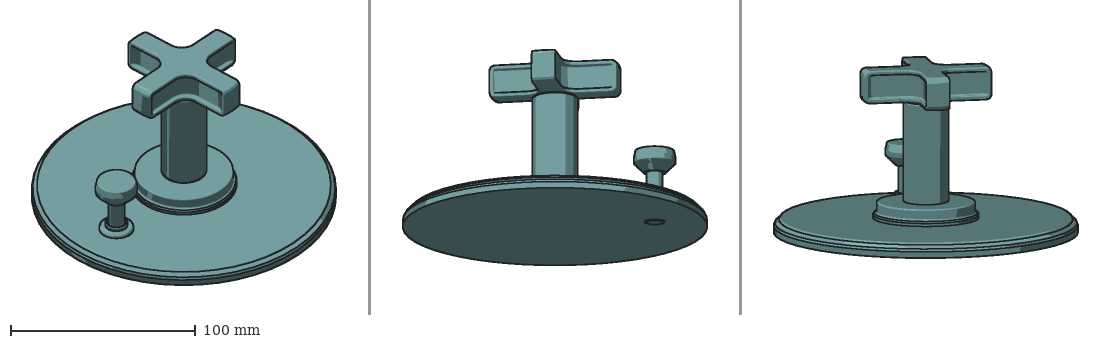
import cadquery as cq
import math

plate_radius = 82.5
plate_bottom = 0.5
plate_top = 8.5
plate_rim_top = 4.0
plate_step_height = 5.5
plate_step_radius = 81.9
plate_flank_radius = 79.5
plate_edge_break = 1.2

flange_radius = 28.7
flange_rim_top = 10.0
flange_shoulder_height = 11.0
flange_edge_break = 0.7
hub_radius = 26.7
hub_cove = 1.2
hub_top = 17.3
hub_edge_break = 0.8

post_radius = 12.4
post_edge_break = 0.8
neck_height = 0.5

cross_top = 91.0
cross_height = 18.0
cross_bottom = cross_top - cross_height
cross_radius = 35.7
cross_tip_round = 3.3
arm_half_width = 6.5
arm_edge_round = 0.8
crotch_radius = 8.3
panel_depth = 2.3
panel_margin = 2.5
panel_end = 33.2
panel_end_run = 5.3
panel_floor_round = 1.0
panel_lip_round = 0.5

knob_y = -55.0
stem_radius = 4.5
knob_neck_height = 27.9
knob_neck_radius = 6.0
knob_radius = 11.4
knob_band_top = 36.3
knob_crown_radius = 10.7
knob_top = 40.3
knob_edge_break = 0.8
knob_band_round_low = 0.7
knob_band_round_high = 2.5

dome_radius = 9.4
dome_round = 2.1
dome_top = 10.9
collar_radius = 6.1
collar_top = 13.0
collar_edge_break = 0.5
bore_radius = 5.5

diagonal = math.sqrt(0.5)
tolerance = 0.02


def make_plate():
    profile = (
        cq.Workplane("XZ")
        .moveTo(0, plate_bottom)
        .lineTo(plate_radius, plate_bottom)
        .lineTo(plate_radius, plate_rim_top)
        .lineTo(plate_step_radius, plate_step_height)
        .lineTo(plate_flank_radius, plate_top - plate_edge_break)
        .radiusArc((plate_flank_radius - plate_edge_break, plate_top), -plate_edge_break)
        .lineTo(0, plate_top)
        .close()
    )
    return profile.revolve()


def make_flange():
    profile = (
        cq.Workplane("XZ")
        .moveTo(0, plate_bottom)
        .lineTo(flange_radius, plate_bottom)
        .lineTo(flange_radius, flange_rim_top)
        .lineTo(flange_radius - flange_edge_break, flange_shoulder_height)
        .radiusArc((hub_radius, flange_shoulder_height + hub_cove), hub_cove)
        .lineTo(hub_radius, hub_top - hub_edge_break)
        .radiusArc((hub_radius - hub_edge_break, hub_top), -hub_edge_break)
        .lineTo(0, hub_top)
        .close()
    )
    return profile.revolve()


def make_post():
    neck_radius = post_radius - post_edge_break
    post = cq.Workplane("XY").workplane(offset=hub_top).circle(post_radius)
    post = post.extrude(cross_bottom - neck_height - hub_top).edges("%CIRCLE").fillet(post_edge_break)
    return post.faces(">Z").workplane().circle(neck_radius).extrude(neck_height)


def make_panel_cutter():
    """Recess in one quadrant, following both arms and the crotch between them."""
    wall = arm_half_width - panel_depth
    crotch = arm_half_width + crotch_radius
    crotch_mid = crotch - (crotch_radius + panel_depth) * diagonal
    full_depth = panel_end - panel_end_run
    end_radius = (panel_end_run**2 + panel_depth**2) / (2 * panel_depth)
    cutter = (
        cq.Workplane("XY")
        .workplane(offset=cross_bottom + panel_margin)
        .moveTo(panel_end, arm_half_width)
        .radiusArc((full_depth, wall), end_radius)
        .lineTo(crotch, wall)
        .threePointArc((crotch_mid, crotch_mid), (wall, crotch))
        .lineTo(wall, full_depth)
        .radiusArc((arm_half_width, panel_end), end_radius)
        .close()
        .extrude(cross_height - 2 * panel_margin)
    )
    return cutter.faces("|Z").edges("|X or |Y or %CIRCLE").fillet(panel_floor_round)


def borders_arm_side(edge):
    """True for the outline of the arm sides: not the arcs across the tips or the crotch tangent lines."""
    middle = edge.Center()
    across_tip = min(abs(middle.x), abs(middle.y)) < arm_half_width / 2
    reach = max(abs(middle.x), abs(middle.y))
    upright = edge.geomType() == "LINE" and abs(edge.tangentAt(0).z) > 1.7 - tolerance
    return not across_tip and not (upright and reach < cross_radius / 2)


def borders_panel(edge):
    """True for the mouth of a side recess, which lies in the arm sides and in the crotch surface."""
    middle = edge.Center()
    if abs(middle.z - (cross_bottom + cross_height / 2)) > cross_height / 2 - panel_margin + tolerance:
        return False
    on_arm_side = abs(min(abs(middle.x), abs(middle.y)) - arm_half_width) < tolerance
    in_crotch = edge.geomType() == "CIRCLE" and abs(edge.radius() - crotch_radius) < tolerance
    return on_arm_side or in_crotch


def make_cross():
    disc = (
        cq.Workplane("XY")
        .workplane(offset=cross_bottom)
        .circle(cross_radius)
        .extrude(cross_height)
        .edges()
        .fillet(cross_tip_round)
    )
    arm_length = 2 * (cross_radius + cross_tip_round)
    arm_width = 2 * arm_half_width
    middle = (0, 0, cross_bottom + cross_height / 2)
    arms = cq.Workplane("XY").box(arm_length, arm_width, cross_height)
    arms = arms.union(cq.Workplane("XY").box(arm_width, arm_length, cross_height))
    crotch_corners = cq.selectors.BoxSelector(
        (-arm_width, -arm_width, -cross_height), (arm_width, arm_width, cross_height)
    )
    arms = arms.edges("|Z").edges(crotch_corners).fillet(crotch_radius).translate(middle)
    cross = disc.intersect(arms)
    cross = cross.newObject([edge for edge in cross.edges().vals() if borders_arm_side(edge)])
    cross = cross.fillet(arm_edge_round)
    for turn in range(4):
        cross = cross.cut(make_panel_cutter().rotate((0, 0, 0), (0, 0, 1), 90 * turn))
    cross = cross.newObject([edge for edge in cross.edges().vals() if borders_panel(edge)])
    return cross.fillet(panel_lip_round)


def make_collar():
    profile = (
        cq.Workplane("XZ")
        .moveTo(0, plate_bottom)
        .lineTo(dome_radius, plate_bottom)
        .lineTo(dome_radius, dome_top - dome_round)
        .radiusArc((dome_radius - dome_round, dome_top), -dome_round)
        .lineTo(collar_radius, dome_top)
        .lineTo(collar_radius, collar_top - collar_edge_break)
        .radiusArc((collar_radius - collar_edge_break, collar_top), -collar_edge_break)
        .lineTo(0, collar_top)
        .close()
    )
    return profile.revolve().translate((0, knob_y, 0))


def make_bore():
    return cq.Workplane("XY").circle(bore_radius).extrude(collar_top).translate((0, knob_y, 0))


def make_trim():
    """Plate, flange, handle and knob collar in one piece, with the bore that the stem runs through."""
    trim = make_plate().union(make_flange()).union(make_post()).union(make_cross())
    return trim.union(make_collar()).cut(make_bore())


def ring_at(height):
    """Selector for the circular edges around the Z axis at one height."""
    return cq.selectors.BoxSelector(
        (-tolerance, -tolerance, height - tolerance), (tolerance, tolerance, height + tolerance)
    )


def make_knob():
    band_bottom = knob_neck_height + knob_radius - knob_neck_radius
    profile = (
        cq.Workplane("XZ")
        .lineTo(stem_radius, 0)
        .lineTo(stem_radius, knob_neck_height)
        .lineTo(knob_neck_radius, knob_neck_height)
        .lineTo(knob_radius, band_bottom)
        .lineTo(knob_radius, knob_band_top)
        .lineTo(knob_crown_radius, knob_top - knob_edge_break)
        .radiusArc((knob_crown_radius - knob_edge_break, knob_top), -knob_edge_break)
        .lineTo(0, knob_top)
        .close()
    )
    knob = profile.revolve()
    knob = knob.edges(ring_at(band_bottom)).fillet(knob_band_round_low)
    knob = knob.edges(ring_at(knob_band_top)).fillet(knob_band_round_high)
    return knob.translate((0, knob_y, 0))


trim = make_trim()
knob = make_knob()
result = cq.Compound.makeCompound([trim.val(), knob.val()])